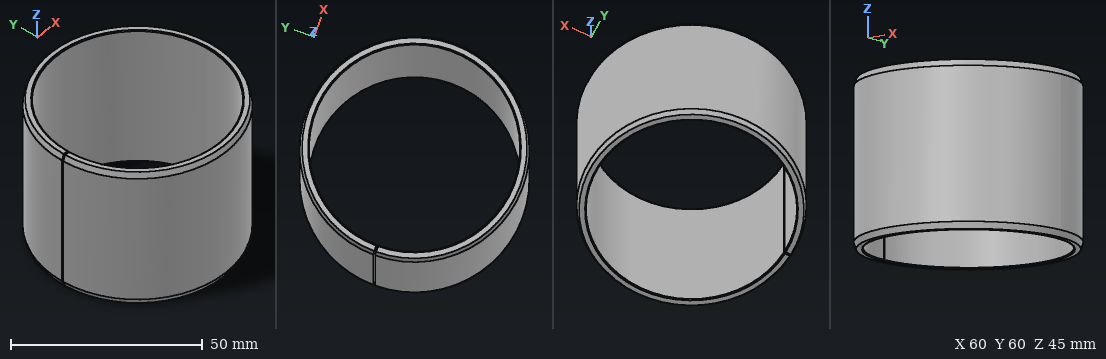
import cadquery as cq
import math

outer_diameter = 60.0
inner_diameter = 55.0
length = 45.0

lead_in_length = 1.8
lead_in_angle = 20.0
lead_in_depth = lead_in_length * math.tan(math.radians(lead_in_angle))

bore_chamfer = 0.3

joint_width = 0.5

outer_radius = outer_diameter / 2
inner_radius = inner_diameter / 2
half_length = length / 2


def make_sleeve():
    """Revolve the chamfered wall section around Z."""
    section = [
        (inner_radius, half_length - bore_chamfer),
        (inner_radius + bore_chamfer, half_length),
        (outer_radius - lead_in_depth, half_length),
        (outer_radius, half_length - lead_in_length),
        (outer_radius, lead_in_length - half_length),
        (outer_radius - lead_in_depth, -half_length),
        (inner_radius + bore_chamfer, -half_length),
        (inner_radius, bore_chamfer - half_length),
    ]
    return cq.Workplane("XZ").polyline(section).close().revolve(360, (0, 0), (0, 1))


def make_joint_cutter():
    """Thin slab from the axis out through the wall on the -X side."""
    return cq.Workplane("XY").box(
        outer_diameter, joint_width, 2 * length
    ).translate((-outer_radius, joint_width / 2, 0))


result = make_sleeve().cut(make_joint_cutter())